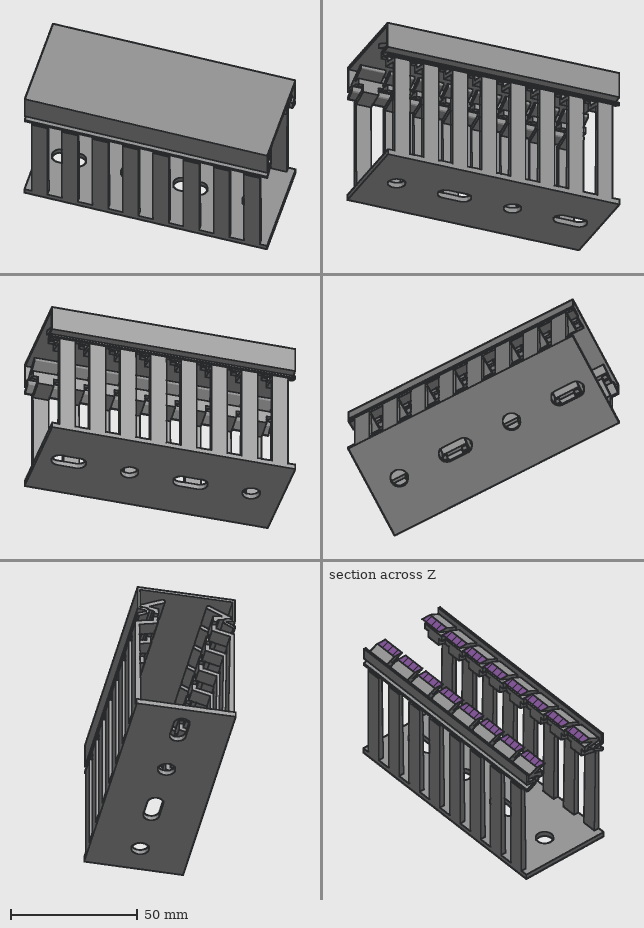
import cadquery as cq
import math


LENGTH = 100.0
WIDTH = 40.0
HEIGHT = 60.0
HALF_WIDTH = WIDTH / 2

BASE_THICKNESS = 2.3
MOUNT_COUNT = 4
MOUNT_PITCH = LENGTH / MOUNT_COUNT
HOLE_DIAMETER = 7.0
SLOT_WIDTH = 6.4
SLOT_LENGTH = 14.0

FINGER_COUNT = 8
FINGER_PITCH = LENGTH / FINGER_COUNT
FINGER_LENGTH = 6.5
HEAD_GAP = 2.0
HEAD_LENGTH = FINGER_PITCH - HEAD_GAP
WALL_FOOT_THICKNESS = 2.3
WALL_TOP_THICKNESS = 1.7
WALL_TOP_OUTER = 44.9
WALL_TOP_INNER = 43.4

NECK_OUTER = 12.8
NECK_INNER = 11.0
NECK_BOTTOM_OUTER = 46.6
NECK_BOTTOM_INNER = 45.2
HEAD_BOTTOM = 48.4

HOOK_UNDERSIDE = [(NECK_OUTER, 49.2), (13.5, 49.6), (17.9, 50.4)]
HOOK_NOSE = (18.5, 51.2)
NOTCH = (14.6, 51.6)
NECK_TOP = 50.9
ARM_ANGLE = math.radians(25.5)
ARM_RADIUS = 0.9
ARM_TIP_CENTER = (9.3, 55.1)
ARM_ROOT = 17.7

COVER_HALF_WIDTH = 19.7
COVER_TOP_THICKNESS = 1.3
COVER_SIDE_THICKNESS = 1.0
COVER_SIDE_BOTTOM = 49.0
COVER_FLOOR = 50.0

LIP_BEND_TOP = (16.0, 49.8)
LIP_BEND_NOSE = (15.0, 48.3)
LIP_BEND_BOTTOM = (15.8, 47.0)
LIP_FOOT = (19.0, 45.4)
LIP_END_BOTTOM = 45.6
LIP_END_TOP = 46.5
LIP_CREASE_BOTTOM = (16.2, 48.1)
LIP_CREASE_TOP = (16.2, 48.4)


def section(start_x, first_point):
    """Start a section outline in the plane X = start_x."""
    return cq.Workplane("YZ", origin=(start_x, 0, 0)).moveTo(*first_point)


def with_mirror(half):
    """Join a shape to its mirror image across the middle plane."""
    return half.union(half.mirror("XZ"))


def make_base():
    """Base plate with obround slots and round holes taking turns along its middle."""
    base = cq.Workplane("XY").box(LENGTH, WIDTH, BASE_THICKNESS, centered=(False, True, False))
    for index in range(MOUNT_COUNT):
        place = cq.Workplane("XY").center((index + 0.5) * MOUNT_PITCH, 0)
        if index % 2 == 0:
            opening = place.slot2D(SLOT_LENGTH, SLOT_WIDTH)
        else:
            opening = place.circle(HOLE_DIAMETER / 2)
        base = base.cut(opening.extrude(BASE_THICKNESS))
    return base


def make_finger(center_x):
    """Tapered wall finger that bends in to its neck."""
    outline = section(center_x - FINGER_LENGTH / 2, (HALF_WIDTH, BASE_THICKNESS))
    outline = (
        outline
        .lineTo(HALF_WIDTH, WALL_TOP_OUTER)
        .lineTo(NECK_OUTER, NECK_BOTTOM_OUTER)
        .lineTo(NECK_OUTER, HEAD_BOTTOM)
        .lineTo(NECK_INNER, HEAD_BOTTOM)
        .lineTo(NECK_INNER, NECK_BOTTOM_INNER)
        .lineTo(HALF_WIDTH - WALL_TOP_THICKNESS, WALL_TOP_INNER)
        .lineTo(HALF_WIDTH - WALL_FOOT_THICKNESS, BASE_THICKNESS)
        .close()
    )
    return outline.extrude(FINGER_LENGTH)


def make_head(center_x):
    """Hook that holds the cover, wider along X than the finger below it."""
    tip_y, tip_z = ARM_TIP_CENTER
    across_y = ARM_RADIUS * math.sin(ARM_ANGLE)
    across_z = ARM_RADIUS * math.cos(ARM_ANGLE)
    arm_top = (tip_y + across_y, tip_z + across_z)
    arm_end = (tip_y - across_z, tip_z + across_y)
    arm_bottom = (tip_y - across_y, tip_z - across_z)
    arm_root = (ARM_ROOT, arm_top[1] - (ARM_ROOT - arm_top[0]) * math.tan(ARM_ANGLE))

    outline = section(center_x - HEAD_LENGTH / 2, (NECK_OUTER, HEAD_BOTTOM))
    for point in HOOK_UNDERSIDE:
        outline = outline.lineTo(*point)
    outline = (
        outline
        .threePointArc(HOOK_NOSE, arm_root)
        .lineTo(*arm_top)
        .threePointArc(arm_end, arm_bottom)
        .lineTo(*NOTCH)
        .lineTo(NECK_INNER, NECK_TOP)
        .lineTo(NECK_INNER, HEAD_BOTTOM)
        .close()
    )
    return outline.extrude(HEAD_LENGTH)


def make_duct():
    """Base with a row of hooked fingers along both sides."""
    duct = make_base()
    for index in range(FINGER_COUNT):
        center_x = (index + 0.5) * FINGER_PITCH
        finger = make_finger(center_x).union(make_head(center_x))
        duct = duct.union(with_mirror(finger))
    return duct


def make_cover():
    """Channel-shaped cover with a snap lip along both lower edges."""
    side_inner = COVER_HALF_WIDTH - COVER_SIDE_THICKNESS
    ceiling = HEIGHT - COVER_TOP_THICKNESS
    half = (
        section(0, (0, HEIGHT))
        .lineTo(COVER_HALF_WIDTH, HEIGHT)
        .lineTo(COVER_HALF_WIDTH, COVER_SIDE_BOTTOM)
        .lineTo(*LIP_CREASE_TOP)
        .lineTo(*LIP_CREASE_BOTTOM)
        .lineTo(COVER_HALF_WIDTH, LIP_END_TOP)
        .lineTo(COVER_HALF_WIDTH, LIP_END_BOTTOM)
        .lineTo(*LIP_FOOT)
        .lineTo(*LIP_BEND_BOTTOM)
        .threePointArc(LIP_BEND_NOSE, LIP_BEND_TOP)
        .lineTo(side_inner, COVER_FLOOR)
        .lineTo(side_inner, ceiling)
        .lineTo(0, ceiling)
        .close()
        .extrude(LENGTH)
    )
    return with_mirror(half)


duct = make_duct()
cover = make_cover()
result = cq.Compound.makeCompound([duct.val(), cover.val()])